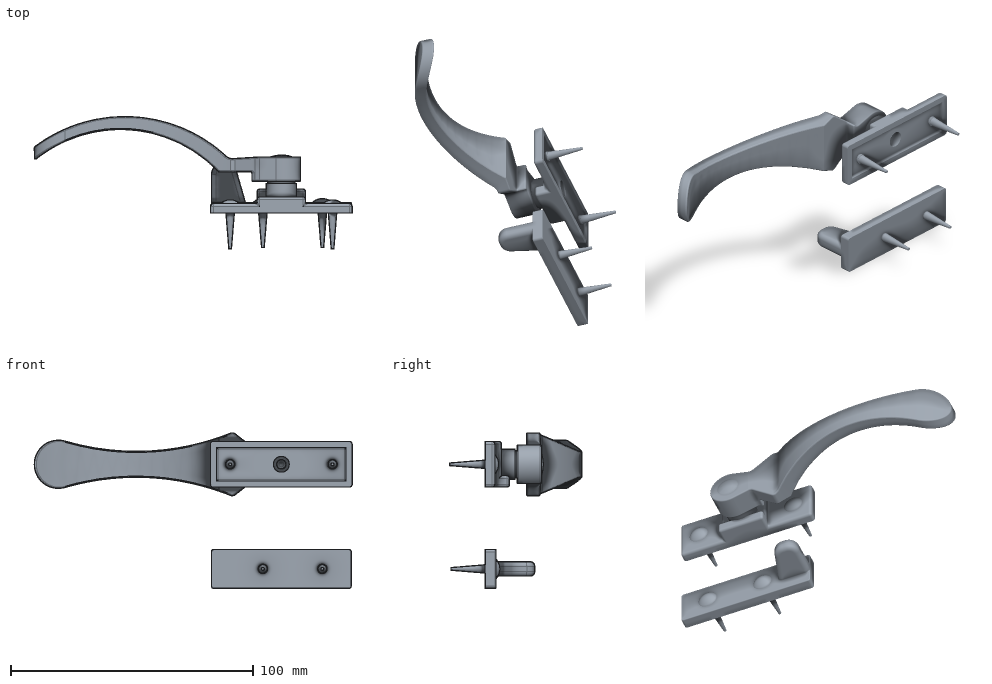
import cadquery as cq
import math


CLEARANCE = 1.3
NEAR = 0.1

BASE_LENGTH = 58.6
BASE_HEIGHT = 18.9
BASE_THICKNESS = 4.0
BASE_ROUND = 1.2
PAD_LENGTH = 20.0
PAD_TOP = 6.7
PAD_ROUND = 1.0
LIP_TOP = 10.0
LIP_THICKNESS = 4.7
PAD_ROOT_FILLET = 0.7
POCKET_MARGIN = 2.5
POCKET_DEPTH = 1.0
POCKET_FLOOR_FILLET = 0.7
BORE_DIAMETER = 6.6

STRIKE_LENGTH = 57.8
STRIKE_HEIGHT = 16.2
STRIKE_THICKNESS = 4.5
STRIKE_DROP = 43.2
STRIKE_CORNER_ROUND = 1.0
STRIKE_FACE_ROUND = 0.4
TONGUE_THICKNESS = 6.0
TONGUE_ROOT_LENGTH = 14.0
TONGUE_TIP = 20.5
TONGUE_SLOPE = 16.0
TONGUE_TIP_RADIUS = 4.6
TONGUE_EDGE_ROUND = 2.0
TONGUE_ROOT_FILLET = 0.4

SCREW_HEAD_DIAMETER = 8.1
SCREW_HEAD_RISE = 1.6
SCREW_SHANK_DIAMETER = 4.0
SCREW_CONE_DIAMETER = 3.5
SCREW_TIP_DIAMETER = 1.2
SCREW_LENGTH = 18.7
BASE_SCREW_SPACING = 42.3
STRIKE_SCREW_OFFSETS = (-7.6, 17.0)

COLLAR_DIAMETER = 12.6
COLLAR_TOP = 12.3
WASHER_DIAMETER = 11.3
PIN_DIAMETER = 4.0
PIN_HEAD_DIAMETER = 9.2
PIN_HEAD_RISE = 0.8
PIN_RECESS_DIAMETER = 3.7
PIN_RECESS_FLOOR_DIAMETER = 2.1
PIN_RECESS_DEPTH = 0.7
PIN_POINT_DEPTH = 1.0

HANDLE_REACH = 102.0
GRIP_END_RADIUS = 10.0
WAIST_X = -59.9
WAIST_HALF_HEIGHT = 5.4
PEAK_X = -20.0
PEAK_ROUND = 1.8
SHOULDER_ANGLE = 38.0
BOSS_RADIUS = 8.0
BOSS_FLANK_ANGLE = 15.4
VALLEY_FILLET = 2.1
BOSS_BOTTOM = 13.1
BOSS_TOP = 23.2
BOSS_WALL_X = -12.2
ARM_BOTTOM = 17.1
ARM_TOP = 22.5
ARM_TOP_END_X = -9.2
OUTER_RADIUS = 61.6
OUTER_CENTRE = (-64.6, -21.7)
INNER_RADIUS = 56.0
INNER_CENTRE = (-66.5, -21.4)
NECK_FILLET = 4.0
HANDLE_EDGE_ROUND = 0.5


def plate_plane(y):
    """Workplane parallel to the mounting face; its local axes are X and Z."""
    return cq.Workplane("XZ", origin=(0, y, 0))


def cylinder(diameter, y_bottom, y_top):
    return plate_plane(y_bottom).circle(diameter / 2).extrude(y_bottom - y_top)


def block(x_min, x_max, y_min, y_max, z_min, z_max):
    size = (x_max - x_min, y_max - y_min, z_max - z_min)
    return cq.Workplane().box(*size, centered=False).translate((x_min, y_min, z_min))


def edges_near(point, z_reach):
    """Selector for edges centred close to a point in X and Y and within z_reach of it in Z."""
    x, y, z = point
    return cq.selectors.BoxSelector(
        (x - NEAR, y - NEAR, z - z_reach), (x + NEAR, y + NEAR, z + z_reach))


def dome(diameter, rise, y_seat):
    """Spherical cap standing on the plane Y = y_seat."""
    radius = diameter / 2
    middle_angle = math.atan(rise / radius)
    sphere_radius = radius / math.sin(2 * middle_angle)
    middle = (
        sphere_radius * math.sin(middle_angle),
        y_seat + rise - sphere_radius * (1 - math.cos(middle_angle)),
    )
    return (
        cq.Workplane("XY").moveTo(0, y_seat).lineTo(radius, y_seat)
        .threePointArc(middle, (0, y_seat + rise)).close()
        .revolve(360, (0, 0, 0), (0, 1, 0))
    )


def make_screw(x, seat, z):
    """Dome-headed wood screw, plain through the plate and tapered beyond it."""
    cone_length = SCREW_LENGTH - seat
    shank = cylinder(SCREW_SHANK_DIAMETER, 0, seat)
    cone = (
        plate_plane(0).circle(SCREW_CONE_DIAMETER / 2)
        .workplane(offset=cone_length).circle(SCREW_TIP_DIAMETER / 2).loft()
    )
    screw = dome(SCREW_HEAD_DIAMETER, SCREW_HEAD_RISE, seat).union(shank).union(cone)
    return screw.translate((x, 0, z))


def screw_hole(x, seat, z):
    return cylinder(SCREW_SHANK_DIAMETER, 0, seat).translate((x, 0, z))


def make_base(screw_xs):
    half_height = BASE_HEIGHT / 2
    x_max = BASE_LENGTH / 2
    plate = (
        block(-x_max, x_max, 0, BASE_THICKNESS, -half_height, half_height)
        .edges("|Y").fillet(BASE_ROUND).faces(">Y").edges().fillet(BASE_ROUND)
    )

    pad = block(-PAD_LENGTH / 2, PAD_LENGTH / 2, 0, PAD_TOP, -half_height, half_height)
    lip = block(-PAD_LENGTH / 2, PAD_LENGTH / 2, 0, LIP_TOP, -half_height, LIP_THICKNESS - half_height)
    pad = pad.union(lip).edges("|Y").fillet(PAD_ROUND)
    pad = pad.faces(">Y").edges().fillet(PAD_ROUND)
    pad_rim = cq.selectors.BoxSelector(
        (-PAD_LENGTH, PAD_TOP - NEAR, LIP_THICKNESS - half_height + NEAR),
        (PAD_LENGTH, PAD_TOP + NEAR, BASE_HEIGHT))
    pad = pad.edges(pad_rim).fillet(PAD_ROUND)
    base = plate.union(pad)
    for side in (-1, 1):
        root = edges_near((side * PAD_LENGTH / 2, BASE_THICKNESS, 0), half_height - BASE_ROUND)
        base = base.edges("|Z").edges(root).fillet(PAD_ROOT_FILLET)

    pocket_x = BASE_LENGTH / 2 - POCKET_MARGIN
    pocket_z = half_height - POCKET_MARGIN
    pocket = block(-pocket_x, pocket_x, 0, POCKET_DEPTH, -pocket_z, pocket_z)
    pocket = pocket.faces(">Y").edges().fillet(POCKET_FLOOR_FILLET)
    base = base.cut(pocket)

    base = base.cut(cylinder(BORE_DIAMETER, 0, PAD_TOP))
    base = base.cut(cylinder(COLLAR_DIAMETER, PAD_TOP, LIP_TOP))
    for x in screw_xs:
        base = base.cut(screw_hole(x, BASE_THICKNESS, 0))
    return base


def make_strike():
    half_height = STRIKE_HEIGHT / 2
    x_max = STRIKE_LENGTH / 2
    x_min = -x_max
    plate = (
        block(x_min, x_max, 0, STRIKE_THICKNESS, -half_height, half_height)
        .edges("|Y").fillet(STRIKE_CORNER_ROUND).faces(">Y").edges().fillet(STRIKE_FACE_ROUND)
    )

    flank_run = (TONGUE_TIP - STRIKE_THICKNESS) * math.tan(math.radians(TONGUE_SLOPE))
    root_x = x_min + TONGUE_ROOT_LENGTH
    tongue = (
        cq.Workplane("XY", origin=(0, 0, -TONGUE_THICKNESS / 2))
        .polyline([
            (x_min, 0), (root_x, 0), (root_x, STRIKE_THICKNESS),
            (root_x - flank_run, TONGUE_TIP), (x_min, TONGUE_TIP),
        ]).close().extrude(TONGUE_THICKNESS)
        .edges("|Z and >Y").fillet(TONGUE_TIP_RADIUS)
    )
    tongue = tongue.faces("<Z or >Z").edges("not <Y").fillet(TONGUE_EDGE_ROUND)
    root = cq.selectors.BoxSelector(
        (x_min + TONGUE_EDGE_ROUND, STRIKE_THICKNESS - NEAR, -TONGUE_THICKNESS),
        (root_x + NEAR, STRIKE_THICKNESS + NEAR, TONGUE_THICKNESS))
    strike = plate.union(tongue).edges(root).fillet(TONGUE_ROOT_FILLET)
    strike = strike.translate((0, 0, -STRIKE_DROP))
    for x in STRIKE_SCREW_OFFSETS:
        strike = strike.cut(screw_hole(x, STRIKE_THICKNESS, -STRIKE_DROP))
    return strike


def handle_planform():
    """Outline of the handle in X and Z: grip, shoulder peaks and boss, with rounded corners."""
    end_x = GRIP_END_RADIUS - HANDLE_REACH
    run = WAIST_X - end_x
    reach = GRIP_END_RADIUS - WAIST_HALF_HEIGHT
    waist_radius = (run ** 2 + WAIST_HALF_HEIGHT ** 2 - GRIP_END_RADIUS ** 2) / (2 * reach)
    waist_z = WAIST_HALF_HEIGHT + waist_radius
    share = GRIP_END_RADIUS / (GRIP_END_RADIUS + waist_radius)
    joint = (end_x + run * share, waist_z * share)
    peak = (PEAK_X, waist_z - math.sqrt(waist_radius ** 2 - (PEAK_X - WAIST_X) ** 2))

    flank = math.radians(BOSS_FLANK_ANGLE)
    tangent = (-BOSS_RADIUS * math.sin(flank), BOSS_RADIUS * math.cos(flank))
    fall = math.tan(math.radians(SHOULDER_ANGLE))
    rise = math.tan(flank)
    valley_x = (peak[1] + fall * peak[0] - tangent[1] + rise * tangent[0]) / (fall + rise)
    valley = (valley_x, tangent[1] - rise * (tangent[0] - valley_x))

    def mirrored(point):
        return (point[0], -point[1])

    waist = (WAIST_X, WAIST_HALF_HEIGHT)
    solid = (
        plate_plane(0).moveTo(*joint)
        .threePointArc(waist, peak).lineTo(*valley).lineTo(*tangent)
        .threePointArc((BOSS_RADIUS, 0), mirrored(tangent))
        .lineTo(*mirrored(valley)).lineTo(*mirrored(peak))
        .threePointArc(mirrored(waist), mirrored(joint))
        .threePointArc((-HANDLE_REACH, 0), joint).close()
        .extrude(-2 * OUTER_RADIUS)
    )

    def corners(point):
        return cq.selectors.BoxSelector(
            (point[0] - NEAR, 0, -2 * point[1]), (point[0] + NEAR, 2 * OUTER_RADIUS, 2 * point[1]))

    solid = solid.edges("|Y").edges(corners(peak)).fillet(PEAK_ROUND)
    return solid.edges("|Y").edges(corners(valley)).fillet(VALLEY_FILLET)


def arc_height(centre, radius, x):
    return centre[1] + math.sqrt(radius ** 2 - (x - centre[0]) ** 2)


def arc_reach(centre, radius, y):
    return centre[0] + math.sqrt(radius ** 2 - (y - centre[1]) ** 2)


def handle_profile():
    """Side shape of the handle in X and Y: curved grip, flat arm and thicker boss."""
    start = -HANDLE_REACH - CLEARANCE
    finish = BOSS_RADIUS + CLEARANCE
    outer_end = arc_reach(OUTER_CENTRE, OUTER_RADIUS, ARM_TOP)
    inner_end = arc_reach(INNER_CENTRE, INNER_RADIUS, ARM_BOTTOM)
    solid = (
        cq.Workplane("XY", origin=(0, 0, -BASE_HEIGHT))
        .moveTo(start, arc_height(OUTER_CENTRE, OUTER_RADIUS, start))
        .threePointArc((OUTER_CENTRE[0], OUTER_CENTRE[1] + OUTER_RADIUS), (outer_end, ARM_TOP))
        .lineTo(ARM_TOP_END_X, BOSS_TOP).lineTo(finish, BOSS_TOP)
        .lineTo(finish, BOSS_BOTTOM).lineTo(BOSS_WALL_X, BOSS_BOTTOM)
        .lineTo(BOSS_WALL_X, ARM_BOTTOM).lineTo(inner_end, ARM_BOTTOM)
        .threePointArc(
            (INNER_CENTRE[0], INNER_CENTRE[1] + INNER_RADIUS),
            (start, arc_height(INNER_CENTRE, INNER_RADIUS, start)))
        .close().extrude(2 * BASE_HEIGHT)
    )
    neck = edges_near((outer_end, ARM_TOP, 0), BASE_HEIGHT)
    return solid.edges("|Z").edges(neck).fillet(NECK_FILLET)


def make_handle():
    handle = handle_planform().intersect(handle_profile())
    wall = cq.selectors.BoxSelector(
        (BOSS_WALL_X - NEAR, BOSS_BOTTOM - NEAR, -BASE_HEIGHT),
        (BOSS_WALL_X + NEAR, ARM_BOTTOM + NEAR, BASE_HEIGHT))
    rims = handle.edges("not (|Z or |Y)").add(handle.edges(wall))
    handle = handle.newObject(rims.vals()).fillet(HANDLE_EDGE_ROUND)
    return handle.cut(cylinder(PIN_DIAMETER, BOSS_BOTTOM, BOSS_TOP))


def make_collar():
    return cylinder(COLLAR_DIAMETER, PAD_TOP, COLLAR_TOP).cut(cylinder(PIN_DIAMETER, PAD_TOP, COLLAR_TOP))


def make_washer():
    return cylinder(WASHER_DIAMETER, COLLAR_TOP, BOSS_BOTTOM).cut(
        cylinder(PIN_DIAMETER, COLLAR_TOP, BOSS_BOTTOM))


def make_pin():
    """Dome-headed pin with a countersunk centre hole in its lower end."""
    pin = cylinder(PIN_DIAMETER, PAD_TOP, BOSS_TOP).union(dome(PIN_HEAD_DIAMETER, PIN_HEAD_RISE, BOSS_TOP))
    recess_floor = PAD_TOP + PIN_RECESS_DEPTH
    recess = (
        cq.Workplane("XY").moveTo(0, PAD_TOP).lineTo(PIN_RECESS_DIAMETER / 2, PAD_TOP)
        .lineTo(PIN_RECESS_FLOOR_DIAMETER / 2, recess_floor)
        .lineTo(0, recess_floor + PIN_POINT_DEPTH).close()
        .revolve(360, (0, 0, 0), (0, 1, 0))
    )
    return pin.cut(recess)


base_screw_xs = (-BASE_SCREW_SPACING / 2, BASE_SCREW_SPACING / 2)

base = make_base(base_screw_xs)
strike = make_strike()
handle = make_handle()
collar = make_collar()
washer = make_washer()
pin = make_pin()
screws = [make_screw(x, BASE_THICKNESS, 0) for x in base_screw_xs]
screws += [make_screw(x, STRIKE_THICKNESS, -STRIKE_DROP) for x in STRIKE_SCREW_OFFSETS]

bodies = [base, strike, handle, collar, washer, pin, *screws]
result = cq.Compound.makeCompound([body.val() for body in bodies])